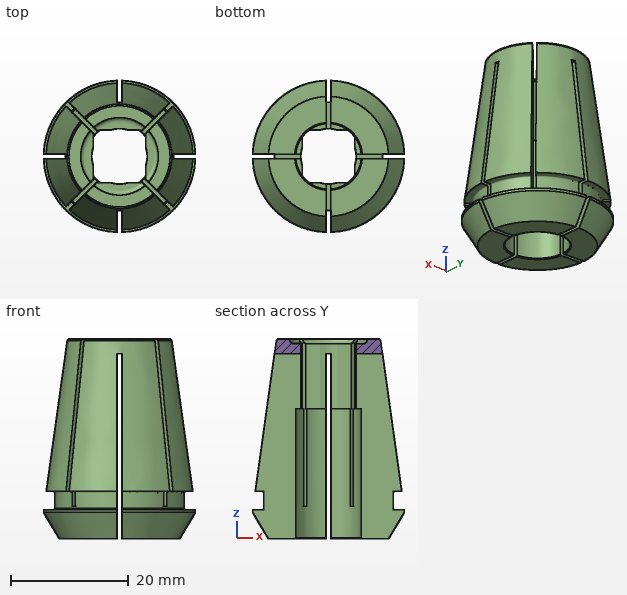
import cadquery as cq
import math

height = 34.0
rim_radius = 12.92
nose_radius = 10.3
rim_bottom = 4.5
rim_top = 4.95
groove_radius = 11.0
groove_top = 8.05
groove_fillet = 0.2
taper_base_radius = 12.48
taper_top_radius = 8.9
top_chamfer = 0.3
nose_chamfer = 0.1

shank_radius = 5.58
shank_mouth_chamfer = 0.17
square_side = 8.9
square_depth = 11.9
pilot_radius = 4.7

recess_radius = 6.6
recess_depth = 0.8

slot_width = 0.78
lower_slot_top = 31.45
upper_slot_floor = 5.5


def collet_body():
    """Revolve the outer profile: nose cone, rim, groove and long taper."""
    fillet_mid = groove_fillet * (1 - math.sqrt(0.5))
    taper_edge = height - top_chamfer
    return (
        cq.Workplane("XZ")
        .lineTo(nose_radius - nose_chamfer, 0)
        .lineTo(nose_radius, nose_chamfer)
        .lineTo(rim_radius, rim_bottom)
        .lineTo(rim_radius, rim_top)
        .lineTo(groove_radius + groove_fillet, rim_top)
        .threePointArc(
            (groove_radius + fillet_mid, rim_top + fillet_mid),
            (groove_radius, rim_top + groove_fillet),
        )
        .lineTo(groove_radius, groove_top - groove_fillet)
        .threePointArc(
            (groove_radius + fillet_mid, groove_top - fillet_mid),
            (groove_radius + groove_fillet, groove_top),
        )
        .lineTo(taper_base_radius, groove_top)
        .lineTo(taper_top_radius, taper_edge)
        .lineTo(taper_top_radius - top_chamfer, height)
        .lineTo(0, height)
        .close()
        .revolve(360, (0, 0), (0, 1))
    )


def axial_opening():
    """Chamfered shank bore and square drive, joined by a full-height pilot hole."""
    square = cq.Workplane("XY").workplane(offset=height - square_depth)
    square = square.rect(square_side, square_side).extrude(square_depth)
    pilot = cq.Workplane("XY").circle(pilot_radius).extrude(height)
    shank_bore = (
        cq.Workplane("XZ")
        .lineTo(shank_radius + shank_mouth_chamfer, 0)
        .lineTo(shank_radius, shank_mouth_chamfer)
        .lineTo(shank_radius, height - square_depth)
        .lineTo(0, height - square_depth)
        .close()
        .revolve(360, (0, 0), (0, 1))
    )
    return square.union(pilot).union(shank_bore)


def top_recess():
    """Shallow recess whose wall meets its flat floor in a full-depth radius."""
    floor_radius = recess_radius - recess_depth
    arc_mid = recess_depth * math.sqrt(0.5)
    return (
        cq.Workplane("XZ", origin=(0, 0, height - recess_depth))
        .lineTo(floor_radius, 0)
        .threePointArc(
            (floor_radius + arc_mid, recess_depth - arc_mid),
            (recess_radius, recess_depth),
        )
        .lineTo(0, recess_depth)
        .close()
        .revolve(360, (0, 0), (0, 1))
    )


def crossed_slots(bottom, top, turn):
    """Two slots crossing at the axis, turned about Z by the given angle."""
    length = 2 * rim_radius + slot_width
    slot = cq.Workplane("XY").workplane(offset=bottom)
    slot = slot.rect(length, slot_width).extrude(top - bottom)
    slots = slot.union(slot.rotate((0, 0, 0), (0, 0, 1), 90))
    return slots.rotate((0, 0, 0), (0, 0, 1), turn)


result = (
    collet_body()
    .cut(axial_opening())
    .cut(top_recess())
    .cut(crossed_slots(0, lower_slot_top, 0))
    .cut(crossed_slots(upper_slot_floor, height, 45))
)